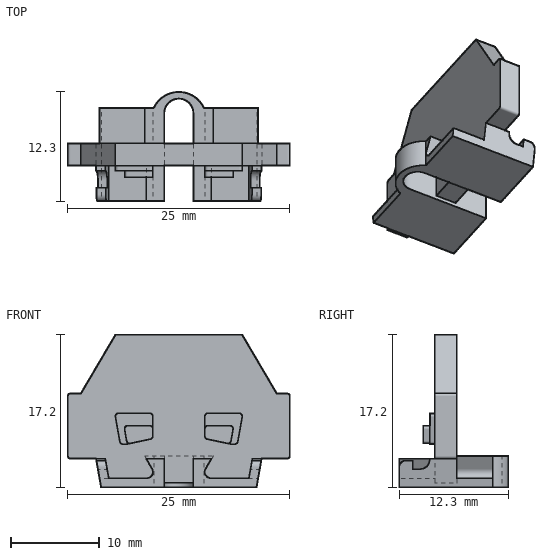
import cadquery as cq
import math


plate_width = 25.0
plate_height = 17.2
plate_thickness = 2.5
plate_bottom = 3.25
plate_top_width = 14.25
shoulder_width = 22.05
shoulder_height = 10.58
plate_corner_radius = 0.3

foot_reach = 4.0
foot_bottom_width = 17.5
wall_lean = math.tan(math.radians(10))
wall_width = 1.05
floor_height = 1.05
rear_hook_height = plate_bottom + plate_corner_radius

hook_tip_x = 3.68
hook_lean = math.tan(math.radians(30))
hook_root_radius = 0.7

slot_width = 3.25
slot_roof = 0.52
slot_end_y = 11.52
loop_radius = 3.12
loop_end_y = 12.3

nose_height = 3.02
nose_length = 1.52
nose_radius = 0.75
notch_floor = 2.08
notch_radius = 1.05
notch_end_y = 3.42

pad_inner_x = 2.92
pad_bottom = 4.88
pad_bottom_slope = math.tan(math.radians(12))
pad_inner_bottom = 5.5
pad_corner_radius = 0.35
base_pad_top = 8.35
base_pad_outer_x = 7.2
base_pad_thickness = 0.55
step_pad_top = 6.95
step_pad_outer_x = 6.18
step_pad_thickness = 0.75

plate_front = foot_reach
plate_rear = plate_front + plate_thickness
foot_rear = plate_rear + foot_reach
slot_radius = slot_width / 2
max_x = plate_width / 2


def extrude_xz(outline, y_start, y_end):
    """Extrude a closed list of (x, z) points from y_start to y_end."""
    plane = cq.Workplane("XZ", origin=(0, y_start, 0))
    return plane.polyline(outline).close().extrude(y_start - y_end)


def with_mirror(body):
    """Return the body joined with its mirror image across X = 0."""
    return body.union(body.mirror("YZ"))


def wall_outer_x(z):
    return foot_bottom_width / 2 + z * wall_lean


def wall_inner_x(z):
    return wall_outer_x(z) - wall_width


def hook_x(z):
    """Position of the leaning hook face at height z."""
    return hook_tip_x - (plate_bottom - z) * hook_lean


def make_plate():
    half_outline = [
        (max_x, plate_bottom),
        (max_x, shoulder_height),
        (shoulder_width / 2, shoulder_height),
        (plate_top_width / 2, plate_height),
    ]
    other_half = [(-x, z) for x, z in reversed(half_outline)]
    plate = extrude_xz(half_outline + other_half, plate_front, plate_rear)
    return plate.edges("|Y and (<X or >X)").fillet(plate_corner_radius)


def make_foot_block(height, y_start, y_end):
    """Solid trapezoidal block under the whole foot."""
    outline = [
        (-wall_outer_x(0), 0),
        (wall_outer_x(0), 0),
        (wall_outer_x(height), height),
        (-wall_outer_x(height), height),
    ]
    return extrude_xz(outline, y_start, y_end)


def make_trough(outer_floor_x, outer_top_x, top, y_start, y_end):
    """Space between a hook and the outer side, with the hook root rounded."""
    outline = [
        (hook_x(floor_height), floor_height),
        (outer_floor_x, floor_height),
        (outer_top_x, top),
        (hook_x(top), top),
    ]
    trough = extrude_xz(outline, y_start, y_end)
    root = (hook_x(floor_height), (y_start + y_end) / 2, floor_height)
    root_edge = cq.selectors.NearestToPointSelector(root)
    return with_mirror(trough.edges("|Y").edges(root_edge).fillet(hook_root_radius))


def make_wall_trim():
    """Space above the front side walls that leaves the notch and the nose."""
    notch_arc_y = notch_end_y - notch_radius
    notch_arc_z = notch_floor + notch_radius
    diagonal = math.sqrt(0.5)
    trim = (
        cq.Workplane("YZ", origin=(wall_inner_x(floor_height), 0, 0))
        .moveTo(0, plate_bottom)
        .lineTo(0, nose_height - nose_radius)
        .radiusArc((nose_radius, nose_height), nose_radius)
        .lineTo(nose_length, nose_height)
        .lineTo(nose_length, notch_floor)
        .lineTo(notch_arc_y, notch_floor)
        .threePointArc(
            (notch_arc_y + notch_radius * diagonal, notch_arc_z - notch_radius * diagonal),
            (notch_end_y, notch_arc_z),
        )
        .lineTo(notch_end_y, plate_bottom)
        .close()
        .extrude(max_x - wall_inner_x(floor_height))
    )
    return with_mirror(trim)


def make_slot(y_start, y_end, height):
    slot = cq.Workplane("XY").box(slot_width, y_end - y_start, height, centered=(True, False, False))
    return slot.translate((0, y_start, 0))


def make_front_foot():
    foot = make_foot_block(plate_bottom, 0, plate_rear)
    trough = make_trough(
        wall_inner_x(floor_height), wall_inner_x(plate_bottom), plate_bottom, 0, plate_front
    )
    foot = foot.cut(trough).cut(make_wall_trim())
    return foot.cut(make_slot(0, plate_front, plate_bottom))


def make_rear_foot():
    """Rear foot: floor and hooks without side walls, plus the loop around the slot end."""
    foot = make_foot_block(rear_hook_height, plate_rear, foot_rear)
    foot = foot.cut(make_trough(max_x, max_x, rear_hook_height, plate_rear, foot_rear))
    loop = (
        cq.Workplane("XY")
        .center(0, loop_end_y - loop_radius)
        .circle(loop_radius)
        .extrude(rear_hook_height)
    )
    behind_hooks = (
        cq.Workplane("XY")
        .box(plate_width, loop_radius, rear_hook_height, centered=(True, False, False))
        .translate((0, foot_rear, 0))
    )
    foot = foot.union(loop.intersect(behind_hooks))
    slot_arc_y = slot_end_y - slot_radius
    slot_end = cq.Workplane("XY").center(0, slot_arc_y).circle(slot_radius).extrude(rear_hook_height)
    return foot.cut(make_slot(plate_rear, slot_arc_y, rear_hook_height)).cut(slot_end)


def make_pad(outer_x, top, underside_points, thickness, y_rear):
    """One pad layer with its sharp corners rounded; the shallow bend under it stays sharp."""
    outline = [(outer_x, top), (pad_inner_x, top), (pad_inner_x, pad_inner_bottom)] + underside_points
    y_front = y_rear - thickness
    pad = extrude_xz(outline, y_front, y_rear)
    corners = [outline[0], outline[1], outline[2], outline[-1]]
    for x, z in corners:
        corner_edge = cq.selectors.NearestToPointSelector((x, (y_front + y_rear) / 2, z))
        pad = pad.edges("|Y").edges(corner_edge).fillet(pad_corner_radius)
    return pad


def make_stepped_pads():
    """Two mirrored pads, each a thin base carrying a smaller step."""
    flat_start_x = pad_inner_x + (pad_inner_bottom - pad_bottom) / pad_bottom_slope
    base_corner_x = base_pad_outer_x - (base_pad_top - pad_bottom) * wall_lean
    base_underside = [(flat_start_x, pad_bottom), (base_corner_x, pad_bottom)]
    base = make_pad(base_pad_outer_x, base_pad_top, base_underside, base_pad_thickness, plate_front)

    level_corner_x = step_pad_outer_x - (step_pad_top - pad_inner_bottom) * wall_lean
    run = (level_corner_x - pad_inner_x) / (1 + pad_bottom_slope * wall_lean)
    step_underside = [(pad_inner_x + run, pad_inner_bottom - run * pad_bottom_slope)]
    step_rear = plate_front - base_pad_thickness
    step = make_pad(step_pad_outer_x, step_pad_top, step_underside, step_pad_thickness, step_rear)
    return with_mirror(base.union(step))


slot_passage = make_slot(plate_front, plate_rear, slot_roof)

result = (
    make_plate()
    .union(make_front_foot())
    .union(make_rear_foot())
    .union(make_stepped_pads())
    .cut(slot_passage)
)